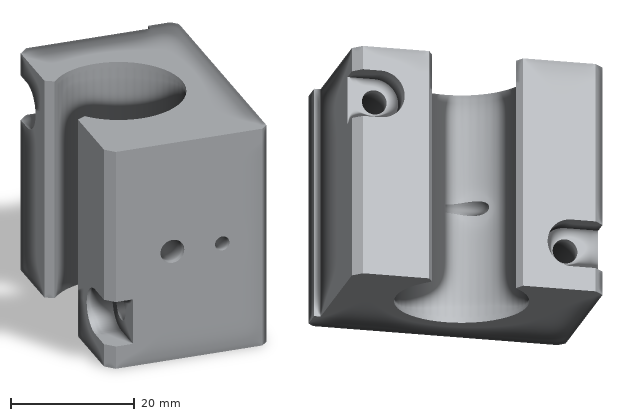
import cadquery as cq
import math

width = 43.0
depth = 28.0
height = 39.0
half_width = width / 2

rib_height = 1.08
rib_width = 5.0
back_chamfer = 1.08
front_chamfer = 1.5

bore_diameter = 22.0
bore_radius = bore_diameter / 2
bore_from_back = 18.0
lip_half_gap = 7.0
mouth_half_gap = 7.85

hole_diameter = 4.13
pocket_width = 8.0
pocket_depth = 4.47
hole_offset_x = 15.95
hole_from_end = 8.0

grazing_diameter = 2.5
grazing_from_back = 8.05
side_hole_diameter = 4.13
side_hole_from_back = 16.7

bore_y = -bore_from_back
lip_y = bore_y - math.sqrt(bore_radius**2 - lip_half_gap**2)
left_x = -half_width + rib_height


def make_block():
    """Extrude the block outline, including the rib, chamfers and open bore."""
    return (
        cq.Workplane("XY")
        .moveTo(-half_width + back_chamfer, 0)
        .lineTo(half_width - back_chamfer, 0)
        .lineTo(half_width, -back_chamfer)
        .lineTo(half_width, -depth + front_chamfer)
        .lineTo(half_width - front_chamfer, -depth)
        .lineTo(mouth_half_gap, -depth)
        .lineTo(lip_half_gap, lip_y)
        .threePointArc((0, bore_y + bore_radius), (-lip_half_gap, lip_y))
        .lineTo(-mouth_half_gap, -depth)
        .lineTo(left_x + front_chamfer, -depth)
        .lineTo(left_x, -depth + front_chamfer)
        .lineTo(left_x, -rib_width)
        .lineTo(-half_width, -rib_width)
        .lineTo(-half_width, -back_chamfer)
        .close()
        .extrude(height)
    )


def make_mounting_cut(side, z):
    """Through hole plus a round-ended pocket open to one side (-1 left, 1 right)."""
    run_out = half_width - hole_offset_x
    front = cq.Workplane("XZ", origin=(side * hole_offset_x, 0, z))
    hole = front.circle(hole_diameter / 2).extrude(depth)
    pocket_floor = front.workplane(offset=depth - pocket_depth)
    round_end = pocket_floor.circle(pocket_width / 2).extrude(pocket_depth)
    open_end = (
        pocket_floor.center(side * run_out / 2, 0)
        .rect(run_out, pocket_width)
        .extrude(pocket_depth)
    )
    return hole.union(round_end).union(open_end)


def make_side_hole(diameter, from_back):
    """Hole along X from the middle of the block out through the right side."""
    return (
        cq.Workplane("YZ", origin=(0, -from_back, height / 2))
        .circle(diameter / 2)
        .extrude(half_width)
    )


result = (
    make_block()
    .cut(make_mounting_cut(-1, height - hole_from_end))
    .cut(make_mounting_cut(1, hole_from_end))
    .cut(make_side_hole(grazing_diameter, grazing_from_back))
    .cut(make_side_hole(side_hole_diameter, side_hole_from_back))
)